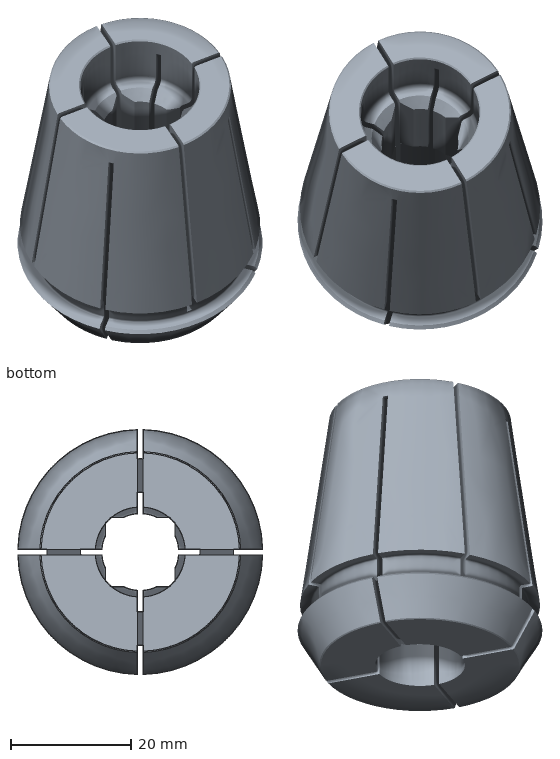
import cadquery as cq
import math

total_height = 46.0
cone_bottom_z = 11.22
cone_bottom_radius = 20.0
cone_half_angle = 8.0
rim_chamfer = 0.25

groove_radius = 18.1
groove_root_fillet = 0.28

flange_diameter = 40.8
flange_radius = flange_diameter / 2
flange_top_z = 7.0
flange_half_angle = 30.0
flange_top_chamfer = 0.5
nose_chamfer = 0.15

top_bore_radius = 9.95
top_bore_depth = 9.7
top_bore_floor_fillet = 0.85
funnel_radius = 8.05
relief_bore_radius = 6.4
drive_square = 11.5
shank_bore_radius = 7.5
shank_bore_depth = 21.15

slot_width = 0.9
top_web = 3.0
top_slot_floor_z = 7.55
slot_length = 1.5 * flange_diameter


def make_body():
    """Solid outer shape, revolved about Z."""
    cone_height = total_height - cone_bottom_z
    cone_top_radius = cone_bottom_radius - cone_height * math.tan(math.radians(cone_half_angle))
    nose_taper = math.tan(math.radians(flange_half_angle))
    flange_edge_z = flange_top_z - flange_top_chamfer
    nose_radius = flange_radius - flange_edge_z * nose_taper
    fillet_offset = groove_root_fillet * (1.0 - math.sqrt(0.5))
    return (
        cq.Workplane("XZ")
        .lineTo(nose_radius - nose_chamfer, 0.0)
        .lineTo(nose_radius + nose_chamfer * nose_taper, nose_chamfer)
        .lineTo(flange_radius, flange_edge_z)
        .lineTo(flange_radius - flange_top_chamfer, flange_top_z)
        .lineTo(groove_radius + groove_root_fillet, flange_top_z)
        .threePointArc(
            (groove_radius + fillet_offset, flange_top_z + fillet_offset),
            (groove_radius, flange_top_z + groove_root_fillet),
        )
        .lineTo(groove_radius, cone_bottom_z - groove_root_fillet)
        .threePointArc(
            (groove_radius + fillet_offset, cone_bottom_z - fillet_offset),
            (groove_radius + groove_root_fillet, cone_bottom_z),
        )
        .lineTo(cone_bottom_radius, cone_bottom_z)
        .lineTo(cone_top_radius, total_height)
        .lineTo(0.0, total_height)
        .close()
        .revolve(360.0, (0, 0, 0), (0, 1, 0))
        .faces(">Z")
        .chamfer(rim_chamfer)
    )


def cut_bores(body):
    """Filleted top bore, 45-degree funnel, square drive with relief, and shank bore."""
    floor_z = total_height - top_bore_depth
    top_bore = (
        cq.Workplane("XY", origin=(0, 0, floor_z))
        .circle(top_bore_radius)
        .extrude(top_bore_depth)
        .faces("<Z")
        .edges()
        .fillet(top_bore_floor_fillet)
    )
    rim = (
        cq.Workplane("XZ", origin=(0, 0, total_height))
        .lineTo(top_bore_radius + rim_chamfer, 0.0)
        .lineTo(top_bore_radius, -rim_chamfer)
        .lineTo(0.0, -rim_chamfer)
        .close()
        .revolve(360.0, (0, 0, 0), (0, 1, 0))
    )
    funnel = (
        cq.Workplane("XZ", origin=(0, 0, floor_z))
        .lineTo(funnel_radius, 0.0)
        .lineTo(0.0, -funnel_radius)
        .close()
        .revolve(360.0, (0, 0, 0), (0, 1, 0))
    )
    relief_bore = cq.Workplane("XY").circle(relief_bore_radius).extrude(floor_z)
    square_drive = (
        cq.Workplane("XY", origin=(0, 0, shank_bore_depth))
        .rect(drive_square, drive_square)
        .extrude(floor_z - shank_bore_depth)
    )
    shank_bore = cq.Workplane("XY").circle(shank_bore_radius).extrude(shank_bore_depth)
    for cutter in (top_bore, rim, funnel, relief_bore, square_drive, shank_bore):
        body = body.cut(cutter)
    return body


def cut_slots(body, bottom_z, top_z, first_angle):
    """Two crossing slots through the full diameter, between two heights."""
    for angle in (first_angle, first_angle + 90.0):
        slot = (
            cq.Workplane("XY", origin=(0, 0, bottom_z))
            .rect(slot_length, slot_width)
            .extrude(top_z - bottom_z)
            .rotate((0, 0, 0), (0, 0, 1), angle)
        )
        body = body.cut(slot)
    return body


collet = cut_bores(make_body())
collet = cut_slots(collet, 0.0, total_height - top_web, 0.0)
collet = cut_slots(collet, top_slot_floor_z, total_height, 45.0)
result = collet